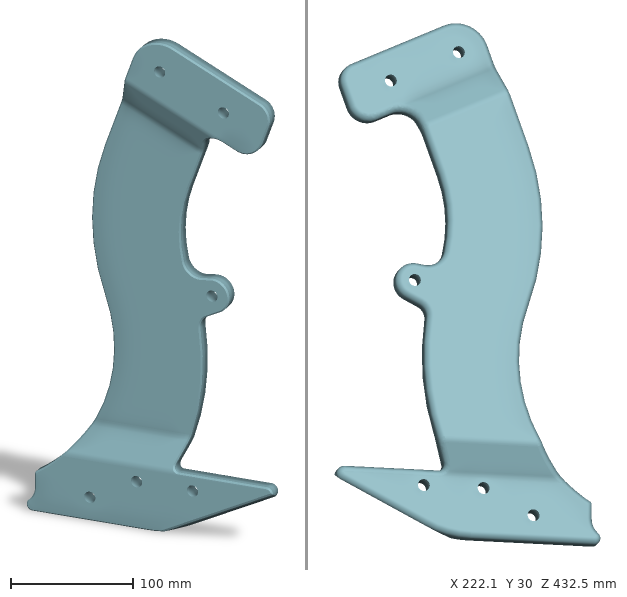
import cadquery as cq
import math

total_height = 432.5
total_depth = 30.0
thickness = total_depth / 2

bend_angle = 30.0
bend_radius = 10.0
bend_rise = thickness / math.tan(math.radians(bend_angle))
back_bend_shift = thickness * math.tan(math.radians(bend_angle / 2))
head_tilt = 25.0
foot_bend_height = 56.0
head_bend_height = 395.0

arm_width = 79.5
arm_lean = 20.0
bow_radius = 194.5
bow_left = 52.0
bow_center_height = 261.8
waist_radius = 134.0

foot_top = 55.5
foot_left = 7.5
toe_notch_top = 20.8
toe_notch_radius = 14.5
toe_notch_angle = 45.0
toe_radius = 5.0
toe_corner_radius = 2.5
blade_tilt = 26.5
blade_start = 130.0
blade_bevel = 23.0
blade_tip_radius = 6.0
blade_heel_radius = 86.5
crotch_radius = 4.5

head_top_left = (105.0, 442.5)
head_top_length = 129.0
head_drop = 50.5
head_left_radius = 27.0
head_right_radius = 15.0
head_low_radius = 17.5
neck_radius = 15.0

lug_center = (160.0, 210.5)
lug_radius = 15.0
lug_root_depth = 43.3
lug_upper_slope = 8.0
lug_lower_slope = 26.5
lug_upper_fillet = 15.0
lug_lower_fillet = 11.0
lug_upper_root = (134.0, 222.5)
lug_lower_root = (152.5, 191.2)

hole_diameter = 10.0
hole_centers = [
    lug_center,
    (120.0, 407.5),
    (177.0, 380.8),
    (57.0, 20.8),
    (99.0, 41.5),
    (149.3, 41.5),
]

back_fillet = 4.8
front_chamfer = 1.5
wall_limit = 0.6


def polar(center, radius, degrees):
    """Point on a circle, with the angle counted from +X towards +Z."""
    angle = math.radians(degrees)
    return (center[0] + radius * math.cos(angle), center[1] + radius * math.sin(angle))


def meet(point_a, degrees_a, point_b, degrees_b):
    """Crossing point of two lines given by a point and a direction."""
    ax, az = math.cos(math.radians(degrees_a)), math.sin(math.radians(degrees_a))
    bx, bz = math.cos(math.radians(degrees_b)), math.sin(math.radians(degrees_b))
    dx, dz = point_b[0] - point_a[0], point_b[1] - point_a[1]
    reach = (dx * bz - dz * bx) / (ax * bz - az * bx)
    return (point_a[0] + reach * ax, point_a[1] + reach * az)


def circle_x(center, radius, height):
    """X of a circle's right side at a given height."""
    return center[0] + math.sqrt(radius**2 - (height - center[1]) ** 2)


def circle_z(center, radius, x):
    """Height of a circle's lower side at a given X."""
    return center[1] - math.sqrt(radius**2 - (x - center[0]) ** 2)


def prism(outline):
    """Extrude a closed XZ outline over the whole depth."""
    return outline.close().extrude(-total_depth)


def round_corners(body, corners):
    """Round the edges along Y that pass nearest to the given XZ points."""
    for (x, z), radius in corners:
        nearest = cq.selectors.NearestToPointSelector((x, total_depth / 2, z))
        body = body.edges("|Y").edges(nearest).fillet(radius)
    return body


def bent_strip(low, high, bend, front_end):
    """Strip in YZ along X: one end at the front, the other set back behind a bend.

    `front_end` is -1 when the front end is the lower one and +1 when it is the upper one.
    """
    set_back = bend - front_end * bend_rise
    front_tip, back_tip = (low, high) if front_end < 0 else (high, low)
    shift = front_end * back_bend_shift
    points = [
        (0, front_tip),
        (0, bend),
        (thickness, set_back),
        (thickness, back_tip),
        (total_depth, back_tip),
        (total_depth, set_back + shift),
        (thickness, bend + shift),
        (thickness, front_tip),
    ]
    strip = cq.Workplane("YZ").polyline(points).close().extrude(2 * total_height, both=True)
    for y, z in (points[1], points[2], points[5], points[6]):
        nearest = cq.selectors.NearestToPointSelector((0, y, z))
        strip = strip.edges("|X").edges(nearest).fillet(bend_radius)
    return strip


def bent_plate():
    """Endless plate with the level foot bend and the tilted head bend."""
    overlap = total_height / 2
    foot = bent_strip(-total_height, overlap, foot_bend_height, -1)
    head = bent_strip(overlap, 2 * total_height, head_bend_height, 1)
    head = head.rotate((0, 0, 0), (0, 1, 0), head_tilt)
    return foot.union(head)


bow_center = (bow_left + bow_radius, bow_center_height)
waist_center = polar(bow_center, bow_radius + waist_radius, 180 + arm_lean)
inner_bow_radius = bow_radius - arm_width
outer_waist_radius = waist_radius + arm_width


def outline_body():
    """Arm, head and foot as one flat outline, with the blade edge still square."""
    upright = 90 - arm_lean
    head_top_right = polar(head_top_left, head_top_length, -head_tilt)
    head_low_right = polar(head_top_right, -head_drop, upright)
    inner_top = polar(bow_center, inner_bow_radius, 180 - arm_lean)
    neck = meet(head_low_right, -head_tilt, inner_top, upright)
    crotch = (circle_x(waist_center, outer_waist_radius, foot_top), foot_top)
    notch_center = (foot_left - toe_notch_radius, toe_notch_top)
    notch_middle = polar(notch_center, toe_notch_radius, -toe_notch_angle / 2)
    notch_end = polar(notch_center, toe_notch_radius, -toe_notch_angle)
    toe = meet(notch_end, 90 - toe_notch_angle, (0, 0), 0)
    toe_corner = (foot_left, circle_z(waist_center, waist_radius, foot_left))
    heel = (blade_start, 0)
    tip = meet(heel, blade_tilt, crotch, 0)

    body = prism(
        cq.Workplane("XZ")
        .moveTo(*toe)
        .lineTo(*notch_end)
        .threePointArc(notch_middle, (foot_left, toe_notch_top))
        .lineTo(*toe_corner)
        .threePointArc(
            polar(waist_center, waist_radius, 0), polar(waist_center, waist_radius, arm_lean)
        )
        .threePointArc(
            polar(bow_center, bow_radius, 180), polar(bow_center, bow_radius, 180 - arm_lean)
        )
        .lineTo(*head_top_left)
        .lineTo(*head_top_right)
        .lineTo(*head_low_right)
        .lineTo(*neck)
        .lineTo(*inner_top)
        .threePointArc(
            polar(bow_center, inner_bow_radius, 180),
            polar(bow_center, inner_bow_radius, 180 + arm_lean),
        )
        .threePointArc(polar(waist_center, outer_waist_radius, 0), crotch)
        .lineTo(*tip)
        .lineTo(*heel)
    )
    return round_corners(
        body,
        [
            (toe, toe_radius),
            (toe_corner, toe_corner_radius),
            (head_top_left, head_left_radius),
            (head_top_right, head_right_radius),
            (head_low_right, head_low_radius),
            (neck, neck_radius),
            (crotch, crotch_radius),
            (tip, blade_tip_radius),
            (heel, blade_heel_radius),
        ],
    )


def add_lug(body):
    """Round lug on a web that is blended into the arm above and below."""
    upper = polar(lug_center, lug_radius, 90 + lug_upper_slope)
    lower = polar(lug_center, lug_radius, lug_lower_slope - 90)
    root = (lug_center[0] - lug_root_depth, 0)
    web_upper = meet(upper, lug_upper_slope, root, 90)
    web_lower = meet(lower, lug_lower_slope, root, 90)
    lug = prism(
        cq.Workplane("XZ")
        .moveTo(*web_lower)
        .lineTo(*lower)
        .threePointArc(polar(lug_center, lug_radius, 0), upper)
        .lineTo(*web_upper)
    )
    return round_corners(
        body.union(lug),
        [(lug_upper_root, lug_upper_fillet), (lug_lower_root, lug_lower_fillet)],
    )


def bevel_blade(body):
    """Lean the blade's edge back towards the front face, from the line where the back fillet starts."""
    size = 4 * total_height
    waste = (
        cq.Workplane("XY")
        .box(size, size, size, centered=(True, True, False))
        .translate((0, 0, -size))
        .rotate((0, 0, 0), (1, 0, 0), -blade_bevel)
        .rotate((0, 0, 0), (0, 1, 0), -blade_tilt)
        .translate((blade_start, thickness - back_fillet, 0))
    )
    return body.cut(waste)


def holes():
    """Pins for the round holes, all straight through along Y."""
    return cq.Workplane("XZ").pushPoints(hole_centers).circle(hole_diameter / 2).extrude(-total_depth)


def rim(body, side):
    """Edges around the whole front (side -1) or back (side +1) surface of the bent plate."""
    uses = {}
    for face in body.faces().vals():
        if side * face.normalAt().y > wall_limit:
            for edge in face.Edges():
                uses.setdefault(edge.hashCode(), []).append(edge)
    return body.newObject([edges[0] for edges in uses.values() if len(edges) == 1])


plate = bent_plate().intersect(add_lug(outline_body()))
plate = rim(plate, 1).fillet(back_fillet)
plate = bevel_blade(plate)
plate = rim(plate, -1).chamfer(front_chamfer)
result = plate.cut(holes())